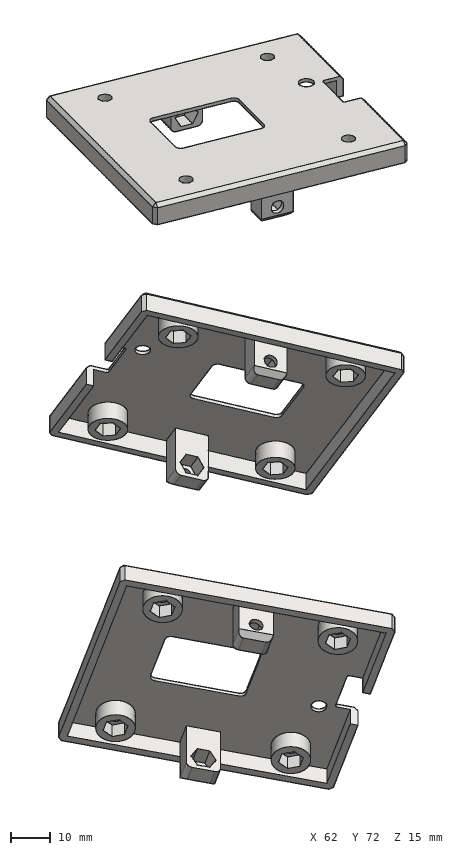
import cadquery as cq

width = 62.0
length = 72.0
total_height = 15.0
rim_height = 6.0
rim_thickness = 2.0
deck_thickness = 1.0
edge_chamfer = 1.0

window_width = 17.0
window_length = 25.05
window_offset = -5.55
window_radius = 1.5
notch_width = 12.0
notch_depth = 6.0
notch_radius = 0.5
cable_hole_diameter = 4.0
cable_hole_x = -7.0
cable_hole_y = 26.0

screw_diameter = 3.5
screw_pitch = 45.9
screw_depth = 2.0
boss_diameter = 10.0
nut_across_flats = 5.6

tab_inset = 2.2
tab_thickness = 6.1
tab_length = 9.0
tab_edge = 1.5
tab_hole_height = 3.95
tab_screw_depth = 1.4

rim_bottom = -rim_height
tab_bottom = -total_height
deck_bottom = -deck_thickness
inner_width = width - 2 * rim_thickness
inner_length = length - 2 * rim_thickness


def box_between(x_size, y_size, bottom, top):
    """Box centred on the Z axis between two heights."""
    return cq.Workplane("XY", origin=(0, 0, bottom)).rect(x_size, y_size).extrude(top - bottom)


def make_tray():
    tray = box_between(width, length, rim_bottom, 0)
    tray = tray.edges("|Z or >Z").chamfer(edge_chamfer)
    return tray.cut(box_between(inner_width, inner_length, rim_bottom, deck_bottom))


def nut_pocket(plane, depth):
    """Hexagonal prism on a plane, with two corners on the plane's local X axis."""
    return cq.Workplane(plane).polygon(6, nut_across_flats, circumscribed=True).extrude(depth)


def make_tab():
    """Tab on the -X side: outer bottom edge bevelled, end bottom edges rounded."""
    outer_x = tab_inset - width / 2
    tab = box_between(tab_thickness, tab_length, tab_bottom, deck_bottom)
    tab = tab.translate((outer_x + tab_thickness / 2, 0, 0))
    tab = tab.edges("<X and <Z").chamfer(tab_edge)
    tab = tab.faces("<Z").edges("|X").fillet(tab_edge)

    hole_start = cq.Plane(
        origin=(outer_x, 0, tab_bottom + tab_hole_height),
        xDir=(0, 0, 1),
        normal=(1, 0, 0),
    )
    hole = cq.Workplane(hole_start).circle(screw_diameter / 2).extrude(tab_thickness)
    pocket = nut_pocket(hole_start, tab_thickness - tab_screw_depth)
    return tab.cut(hole).cut(pocket.translate((tab_screw_depth, 0, 0)))


def cut_deck_openings(body):
    window = box_between(window_width, window_length, rim_bottom, 0).edges("|Z").fillet(window_radius)
    notch = box_between(notch_width, 2 * notch_depth, rim_bottom, 0).edges("|Z").fillet(notch_radius)
    cable_hole = cq.Workplane("XY").circle(cable_hole_diameter / 2).extrude(rim_bottom)
    body = body.cut(window.translate((0, window_offset, 0)))
    body = body.cut(notch.translate((0, length / 2, 0)))
    return body.cut(cable_hole.translate((cable_hole_x, cable_hole_y, 0)))


def add_screw_bosses(body):
    places = cq.Workplane("XY").rect(screw_pitch, screw_pitch, forConstruction=True).vertices()
    body = body.union(places.circle(boss_diameter / 2).extrude(rim_bottom))
    body = body.cut(places.circle(screw_diameter / 2).extrude(rim_bottom))
    pocket_plane = cq.Plane(origin=(0, 0, rim_bottom), xDir=(0, 1, 0))
    pocket = nut_pocket(pocket_plane, rim_height - screw_depth)
    for place in places.vals():
        body = body.cut(pocket.translate(place.toTuple()))
    return body


tab = make_tab()
result = make_tray().union(tab).union(tab.mirror("YZ"))
result = add_screw_bosses(result)
result = cut_deck_openings(result)